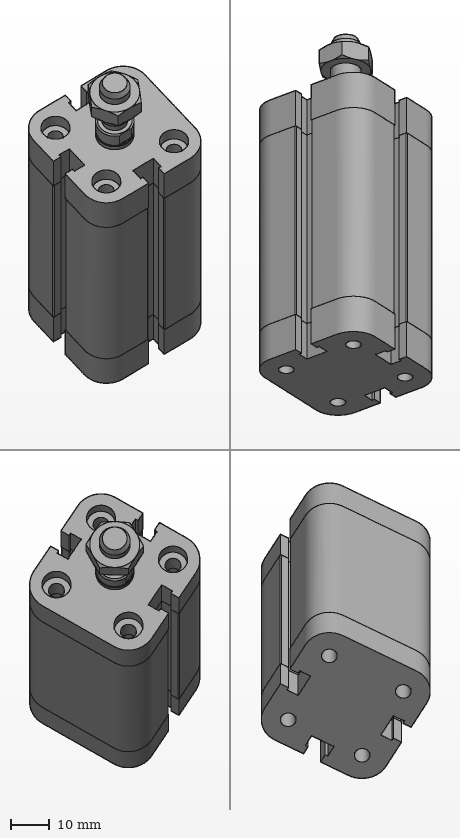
import cadquery as cq
import math


total_height = 99.0
side = 36.0
corner_radius = 7.1
rod_length_out = 22.0
cap_height = 10.5
housing_height = total_height - rod_length_out
tube_height = housing_height - 2 * cap_height
tube_bottom = cap_height
tube_top = tube_bottom + tube_height

hole_spacing = 22.0
hole_diameter = 4.1
counterbore_diameter = 7.5
counterbore_depth = 4.0

slot_angles = (-90, 0, 90)
slot_opening = 5.0
slot_width = 6.6
slot_lip = 2.5
slot_depth = 5.7
slot_chamfer = 0.3

collar_diameter = 10.0
collar_height = 6.0
collar_chamfer_width = 0.5
collar_chamfer_height = 0.3
collar_flats = 9.2
flats_height = 4.1
groove_diameter = 9.8
groove_height = 0.4
groove_bottom = housing_height + 1.3
groove_top = groove_bottom + groove_height
collar_top = housing_height + collar_height
neck_diameter = 6.7
neck_height = 2.7
neck_top = collar_top + neck_height
thread_diameter = 8.0
tip_diameter = 6.4
tip_height = 1.7

nut_flats = 13.0
nut_sides = 6
half_side_angle = 180 / nut_sides
nut_corners = nut_flats / math.cos(math.radians(half_side_angle))
nut_height = 5.0
nut_chamfer_angle = 30
nut_top = total_height - 4.0
nut_bottom = nut_top - nut_height


def cylinder(diameter, bottom, height):
    return cq.Workplane("XY").workplane(offset=bottom).circle(diameter / 2).extrude(height)


def turned(profile_points):
    """Solid of revolution about Z from (radius, z) points."""
    return cq.Workplane("XZ").polyline(profile_points).close().revolve(360, (0, 0, 0), (0, 1, 0))


def hole_pattern(diameter, bottom, height):
    """Four cylinders on the mounting hole square."""
    plane = cq.Workplane("XY").workplane(offset=bottom)
    corners = plane.rect(hole_spacing, hole_spacing, forConstruction=True).vertices()
    return corners.circle(diameter / 2).extrude(height)


def slot_cutter(bottom, height, chamfer):
    """T-slot in the -Y side, open along the whole height of its block."""
    face_y = -side / 2
    half_opening = slot_opening / 2
    half_width = slot_width / 2
    right_half = [
        (half_opening + chamfer, face_y),
        (half_opening, face_y + chamfer),
        (half_opening, face_y + slot_lip),
        (half_width, face_y + slot_lip),
        (half_width, face_y + slot_depth),
    ]
    if chamfer == 0:
        right_half = right_half[1:]
    left_half = [(-x, y) for x, y in reversed(right_half)]
    return cq.Workplane("XY").workplane(offset=bottom).polyline(right_half + left_half).close().extrude(height)


def build_housing_block(bottom, height, chamfer=0):
    """Rounded square block with T-slots and through mounting holes."""
    block = cq.Workplane("XY").workplane(offset=bottom).rect(side, side).extrude(height)
    block = block.edges("|Z").fillet(corner_radius)
    slot = slot_cutter(bottom, height, chamfer)
    for angle in slot_angles:
        block = block.cut(slot.rotate((0, 0, 0), (0, 0, 1), angle))
    return block.cut(hole_pattern(hole_diameter, bottom, height))


def build_front_cap():
    """End cap with counterbored mounting holes and a bore for the rod."""
    cap = build_housing_block(tube_top, cap_height)
    cap = cap.cut(hole_pattern(counterbore_diameter, housing_height - counterbore_depth, counterbore_depth))
    return cap.cut(cylinder(collar_diameter, tube_top, cap_height))


def build_rod():
    """Stepped rod from the tube end up to the threaded tip, with two wrench flats."""
    collar_radius = collar_diameter / 2
    rod = turned([
        (0, tube_top),
        (collar_radius, tube_top),
        (collar_radius, groove_bottom),
        (groove_diameter / 2, groove_bottom),
        (groove_diameter / 2, groove_top),
        (collar_radius, groove_top),
        (collar_radius, collar_top - collar_chamfer_height),
        (collar_radius - collar_chamfer_width, collar_top),
        (neck_diameter / 2, collar_top),
        (neck_diameter / 2, neck_top),
        (thread_diameter / 2, neck_top),
        (thread_diameter / 2, total_height - tip_height),
        (tip_diameter / 2, total_height),
        (0, total_height),
    ])
    flats_bottom = collar_top - flats_height
    flats_ring = cylinder(collar_diameter, flats_bottom, flats_height)
    kept_core = cq.Workplane("XY").workplane(offset=flats_bottom)
    kept_core = kept_core.rect(collar_flats, collar_diameter).extrude(flats_height)
    return rod.cut(flats_ring.cut(kept_core))


def build_nut():
    """Hexagon nut with flats facing +X and -X and both ends chamfered."""
    hexagon = cq.Workplane("XY").workplane(offset=nut_bottom).polygon(nut_sides, nut_corners).extrude(nut_height)
    hexagon = hexagon.rotate((0, 0, 0), (0, 0, 1), half_side_angle)
    chamfer_height = (nut_corners - nut_flats) / 2 * math.tan(math.radians(nut_chamfer_angle))
    chamfer_envelope = turned([
        (0, nut_bottom),
        (nut_flats / 2, nut_bottom),
        (nut_corners / 2, nut_bottom + chamfer_height),
        (nut_corners / 2, nut_top - chamfer_height),
        (nut_flats / 2, nut_top),
        (0, nut_top),
    ])
    return hexagon.intersect(chamfer_envelope).cut(cylinder(thread_diameter, nut_bottom, nut_height))


rear_cap = build_housing_block(0, cap_height)
tube = build_housing_block(tube_bottom, tube_height, slot_chamfer)
front_cap = build_front_cap()
rod = build_rod()
nut = build_nut()

result = cq.Compound.makeCompound([
    rear_cap.val(),
    tube.val(),
    front_cap.val(),
    rod.val(),
    nut.val(),
])